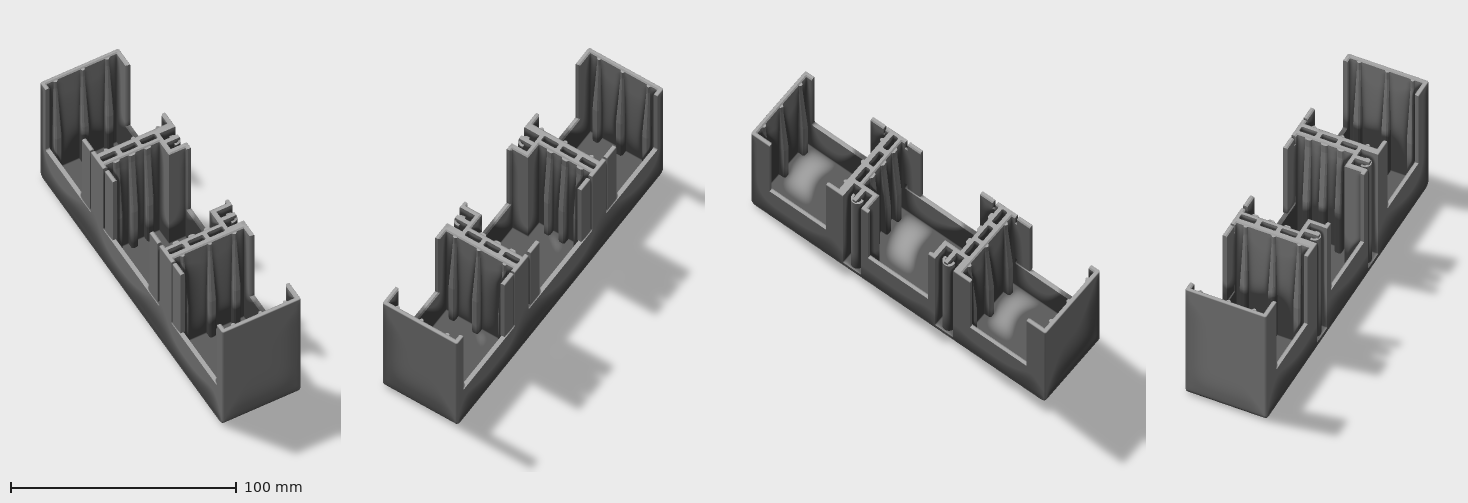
import cadquery as cq
import math

LENGTH = 165.0
DEPTH = 40.0
HEIGHT = 65.0
WALL = 2.1
FLOOR = 3.0
FLOOR_FILLET = 0.5
SIDE_RADIUS = 1.0
END_RADIUS = 3.0
TOP_RADIUS = 0.5

BEVEL_WIDTH = 0.7
BEVEL_HEIGHT = 0.5

END_BAY_INNER = 34.5
CENTRE_BAY_HALF = 27.0
CENTRE_BAY_REAR_HALF = 18.3
HOOK_POCKET_INNER = 20.6
HOOK_POCKET_OUTER = 30.9
HOOK_POCKET_FLOOR_Y = 11.7
CENTRE_BAY_STEP_Y = 9.5

SILL = 23.0
FLANGE_INNER = 25.4
FLANGE_OUTER = 36.3
FRONT_WINDOW_END = 77.4
REAR_WINDOW_START = 40.3
REAR_WINDOW_END = 71.8
REAR_CENTRE_HALF = 16.8
WINDOW_FLARE = 0.7
FLARE_ANGLE = 45
WINDOW_RADIUS = 0.8

TAPER_BOTTOM = 27.7
TAPER_TOP = 60.0

TAB_BOTTOM = 24.5
OUTER_TAB = (37.3, 44.5)
INNER_TAB = (16.7, 23.8)
WEB_THICKNESS = 1.0

RIB_WIDTH = 3.3
RIB_REACH = 3.5
RIB_TOP_REACH = 1.0
END_RIB_TOP_WIDTH = 2.0
END_RIB_YS = (13.0, 0.5, -13.4)
CENTRE_RIB_YS = (3.5, -4.5, -12.4)
RIB_EDGE = 0.7

CELL_X = 30.5
CELL_WIDTH = 3.0
CELL_LENGTH = 8.0
CELL_YS = (6.0, -4.0, -14.2)
CELL_RADIUS = 0.7

HOOK_X = 25.5
HOOK_STEM_WIDTH = 2.0
HOOK_HEAD_RADIUS = 3.0
HOOK_INNER_RADIUS = 1.8
HOOK_HEAD_Y = 16.2
HOOK_BARB_LENGTH = 0.8
HOOK_ARM_DROP = 1.6

HALF_LENGTH = LENGTH / 2
HALF_DEPTH = DEPTH / 2
BAY_HALF_DEPTH = HALF_DEPTH - WALL
END_BAY_OUTER = HALF_LENGTH - WALL


def block(x_range, y_range, z_range):
    """Box given by its low and high limits along each axis."""
    (x0, x1), (y0, y1), (z0, z1) = x_range, y_range, z_range
    return cq.Workplane("XY").box(x1 - x0, y1 - y0, z1 - z0, centered=False).translate((x0, y0, z0))


def both_sides(solid):
    """A feature together with its mirror image across X = 0."""
    return solid.union(solid.mirror("YZ"))


def bay_cutter(points):
    """Bay cavity from the floor up, widened by a bevel at its mouth."""
    cavity = cq.Workplane("XY").workplane(offset=FLOOR).polyline(points).close().extrude(HEIGHT - FLOOR)
    cavity = cavity.edges("<Z").fillet(FLOOR_FILLET)
    flare_angle = math.degrees(math.atan2(BEVEL_WIDTH, BEVEL_HEIGHT))
    mouth = (
        cq.Workplane("XY")
        .workplane(offset=HEIGHT - BEVEL_HEIGHT)
        .polyline(points)
        .close()
        .extrude(BEVEL_HEIGHT, taper=-flare_angle)
    )
    return cavity.union(mouth)


def front_window(x0, x1):
    """Opening through the front wall, rounded at its lower corners."""
    window = block((x0, x1), (-HALF_DEPTH, -BAY_HALF_DEPTH), (SILL, HEIGHT))
    return window.edges("|Y and <Z").fillet(WINDOW_RADIUS)


def rear_window(x0, x1):
    """Opening through the rear wall, flared towards the bay on its sides and sill."""
    window = block((x0, x1), (BAY_HALF_DEPTH, HALF_DEPTH), (SILL, HEIGHT))
    flare = (
        cq.Workplane("XZ", origin=((x0 + x1) / 2, BAY_HALF_DEPTH + WINDOW_FLARE, (SILL + HEIGHT) / 2))
        .rect(x1 - x0, HEIGHT - SILL)
        .extrude(WINDOW_FLARE, taper=-FLARE_ANGLE)
    )
    return window.union(flare)


def rib(wall_x, direction, y, top_width):
    """Upright rib on a bay wall, full size near the floor and tapering to a slim upper end."""

    def section(reach, width):
        root = -direction * BEVEL_WIDTH
        tip = direction * reach
        shoulder = direction * (reach - RIB_EDGE)
        half = width / 2
        return [
            (root, -half),
            (shoulder, -half),
            (tip, RIB_EDGE - half),
            (tip, half - RIB_EDGE),
            (shoulder, half),
            (root, half),
        ]

    full = section(RIB_REACH, RIB_WIDTH)
    slim = section(RIB_TOP_REACH, top_width)
    base = cq.Workplane("XY", origin=(wall_x, y, 0))
    lower = base.workplane(offset=FLOOR).polyline(full).close().extrude(TAPER_BOTTOM - FLOOR)
    taper = (
        base.workplane(offset=TAPER_BOTTOM)
        .polyline(full)
        .close()
        .workplane(offset=TAPER_TOP - TAPER_BOTTOM)
        .polyline(slim)
        .close()
        .loft(ruled=True)
    )
    upper_height = HEIGHT - BEVEL_HEIGHT - TAPER_TOP
    upper = base.workplane(offset=TAPER_TOP).polyline(slim).close().extrude(upper_height)
    return lower.union(taper).union(upper)


def front_tab(tab, flange_edge):
    """Bevelled tab in the front window and the thin web joining it to the flange."""
    plate = block(tab, (-HALF_DEPTH, -BAY_HALF_DEPTH), (TAB_BOTTOM, HEIGHT))
    plate = plate.faces(">Z").edges(">Y").chamfer(BEVEL_HEIGHT, BEVEL_WIDTH)
    plate = plate.faces(">Z").edges("<Y").fillet(TOP_RADIUS)
    web_x = sorted((flange_edge, min(tab, key=lambda x: abs(x - flange_edge))))
    web = block(web_x, (-BAY_HALF_DEPTH - WEB_THICKNESS, -BAY_HALF_DEPTH), (TAPER_BOTTOM, TAPER_TOP))
    return plate.union(web)


def hook():
    """Stem rising from the pocket wall, with two lower arms curling back like an anchor."""
    arm_top = HEIGHT - HOOK_ARM_DROP
    base = cq.Workplane("XY", origin=(HOOK_X, HOOK_HEAD_Y, FLOOR))
    head = base.circle(HOOK_HEAD_RADIUS).circle(HOOK_INNER_RADIUS).extrude(arm_top - FLOOR)
    arms = head.intersect(
        block(
            (HOOK_X - HOOK_HEAD_RADIUS, HOOK_X + HOOK_HEAD_RADIUS),
            (HOOK_HEAD_Y - HOOK_BARB_LENGTH, HOOK_HEAD_Y + HOOK_HEAD_RADIUS),
            (FLOOR, arm_top),
        )
    )
    arm_middle = HOOK_HEAD_Y + (HOOK_HEAD_RADIUS + HOOK_INNER_RADIUS) / 2
    stem = block(
        (HOOK_X - HOOK_STEM_WIDTH / 2, HOOK_X + HOOK_STEM_WIDTH / 2),
        (HOOK_POCKET_FLOOR_Y, arm_middle),
        (FLOOR, HEIGHT),
    )
    return stem.union(arms)


body = cq.Workplane("XY").box(LENGTH, DEPTH, HEIGHT, centered=(True, True, False))
body = body.faces("<Z").edges("|Y").fillet(END_RADIUS)
body = body.faces("<Y or >Y").edges("not >Z").fillet(SIDE_RADIUS)
body = body.faces(">Z").edges().fillet(TOP_RADIUS)

end_bay = bay_cutter([
    (END_BAY_INNER, -BAY_HALF_DEPTH),
    (END_BAY_OUTER, -BAY_HALF_DEPTH),
    (END_BAY_OUTER, BAY_HALF_DEPTH),
    (END_BAY_INNER, BAY_HALF_DEPTH),
])
centre_bay = bay_cutter([
    (-CENTRE_BAY_HALF, -BAY_HALF_DEPTH),
    (CENTRE_BAY_HALF, -BAY_HALF_DEPTH),
    (CENTRE_BAY_HALF, CENTRE_BAY_STEP_Y),
    (CENTRE_BAY_REAR_HALF, CENTRE_BAY_STEP_Y),
    (CENTRE_BAY_REAR_HALF, BAY_HALF_DEPTH),
    (-CENTRE_BAY_REAR_HALF, BAY_HALF_DEPTH),
    (-CENTRE_BAY_REAR_HALF, CENTRE_BAY_STEP_Y),
    (-CENTRE_BAY_HALF, CENTRE_BAY_STEP_Y),
])
body = body.cut(both_sides(end_bay)).cut(centre_bay)

hook_pocket = block(
    (HOOK_POCKET_INNER, HOOK_POCKET_OUTER),
    (HOOK_POCKET_FLOOR_Y, HALF_DEPTH + WALL),
    (FLOOR, HEIGHT),
)
hook_pocket = hook_pocket.edges("<Z").fillet(FLOOR_FILLET)
body = body.cut(both_sides(hook_pocket))
body = body.union(both_sides(hook()))

cells = (
    cq.Workplane("XY")
    .workplane(offset=FLOOR)
    .pushPoints([(CELL_X, y) for y in CELL_YS])
    .rect(CELL_WIDTH, CELL_LENGTH)
    .extrude(HEIGHT - FLOOR)
    .edges("|Z")
    .fillet(CELL_RADIUS)
)
body = body.cut(both_sides(cells))

body = body.cut(both_sides(front_window(FLANGE_OUTER, FRONT_WINDOW_END)))
body = body.cut(front_window(-FLANGE_INNER, FLANGE_INNER))
body = body.cut(both_sides(rear_window(REAR_WINDOW_START, REAR_WINDOW_END)))
body = body.cut(rear_window(-REAR_CENTRE_HALF, REAR_CENTRE_HALF))

body = body.union(both_sides(front_tab(OUTER_TAB, FLANGE_OUTER)))
body = body.union(both_sides(front_tab(INNER_TAB, FLANGE_INNER)))

for y in END_RIB_YS:
    body = body.union(both_sides(rib(END_BAY_OUTER, -1, y, END_RIB_TOP_WIDTH)))
    body = body.union(both_sides(rib(END_BAY_INNER, 1, y, END_RIB_TOP_WIDTH)))
for y in CENTRE_RIB_YS:
    body = body.union(both_sides(rib(CENTRE_BAY_HALF, -1, y, RIB_WIDTH)))

result = body